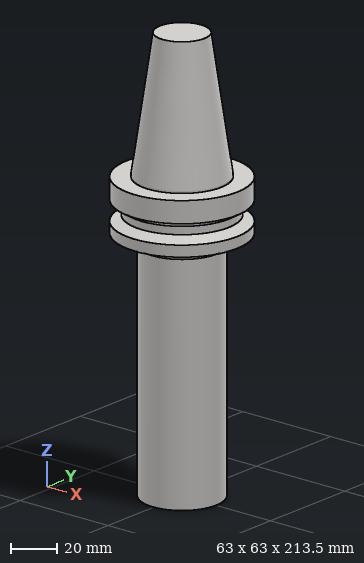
import cadquery as cq

total_height = 213.5

shank_diameter = 39.0
flange_diameter = 63.0
groove_diameter = 53.0
taper_large_diameter = 44.4
taper_small_diameter = 25.5

taper_length = 65.3
taper_land = 1.0
flange_height = 26.0
upper_rim_height = 10.7
lower_rim_height = 5.5
groove_floor_height = 3.8
collar_height = 5.3

collar_root_diameter = shank_diameter + 2 * collar_height

groove_side_height = (
    flange_height - upper_rim_height - lower_rim_height - groove_floor_height
) / 2

flange_top = total_height - taper_length - taper_land
flange_bottom = flange_top - flange_height
collar_bottom = flange_bottom - collar_height
groove_bottom = flange_bottom + lower_rim_height
floor_bottom = groove_bottom + groove_side_height
floor_top = floor_bottom + groove_floor_height
groove_top = floor_top + groove_side_height

profile = [
    (0, 0),
    (shank_diameter, 0),
    (shank_diameter, collar_bottom),
    (collar_root_diameter, flange_bottom),
    (flange_diameter, flange_bottom),
    (flange_diameter, groove_bottom),
    (groove_diameter, floor_bottom),
    (groove_diameter, floor_top),
    (flange_diameter, groove_top),
    (flange_diameter, flange_top),
    (taper_large_diameter, flange_top),
    (taper_large_diameter, flange_top + taper_land),
    (taper_small_diameter, total_height),
    (0, total_height),
]

result = (
    cq.Workplane("XZ")
    .polyline([(diameter / 2, level) for diameter, level in profile])
    .close()
    .revolve(360, (0, 0, 0), (0, 1, 0))
)